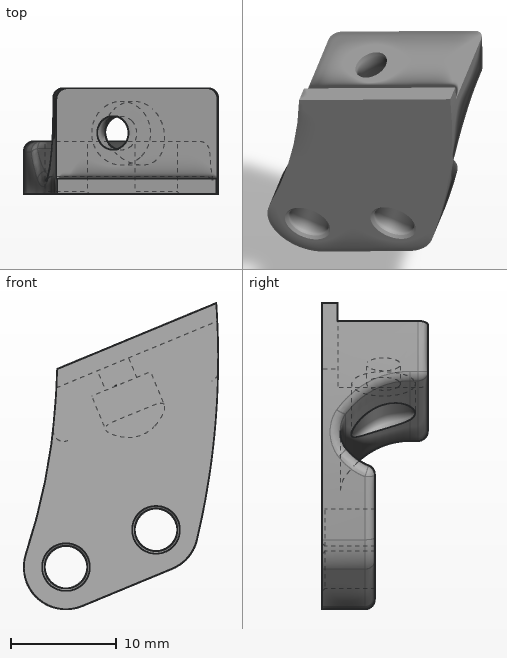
import cadquery as cq
import math

SLOPE = math.radians(22.5)
COS = math.cos(SLOPE)
SIN = math.sin(SLOPE)

TOTAL_HEIGHT = 28.93
BOSS_RADIUS = 4.0
BOSS_X = 4.0
HOLE_SPACING = 9.2
FLANK_CENTER_X = -55.98
FLANK_CENTER_Z = 23.72
OUTER_FLANK_RADIUS = 74.35

PLATE_DEPTH = 1.48
PAD_DEPTH = 5.0
BLOCK_DEPTH = 10.0

STEP_DROP = 1.6
BLOCK_UNDERSIDE = 13.15

SMALL_RADIUS = 2.0
LARGE_RADIUS = 7.98
CHANNEL_FLOOR_DEPTH = 1.7
CHANNEL_CENTER_HEIGHT = 9.05
PAD_RADIUS = 5.0
PAD_JOINT_ANGLE = math.radians(42)

PIN_RADIUS = 2.0
PIN_CHAMFER = 0.25
SCREW_RADIUS = 1.6
SCREW_ALONG = 16.63
SCREW_DEPTH = 5.8
SCREW_LENGTH = 2.0
HEAD_RADIUS = 3.0
EDGE_FILLET = 0.98

MARGIN = 5.8
TOLERANCE = 0.003

SLOPED = cq.Plane(origin=(0, 0, 0), xDir=(0, 1, 0), normal=(COS, 0, SIN))

boss_1 = (BOSS_X, BOSS_RADIUS)
boss_2 = (BOSS_X + HOLE_SPACING * COS, BOSS_RADIUS + HOLE_SPACING * SIN)
flank_center = (FLANK_CENTER_X, FLANK_CENTER_Z)
inner_flank_radius = math.dist(flank_center, boss_1) - BOSS_RADIUS

corner_x = FLANK_CENTER_X + math.sqrt(OUTER_FLANK_RADIUS**2 - (TOTAL_HEIGHT - FLANK_CENTER_Z) ** 2)
cap_height = TOTAL_HEIGHT * COS - corner_x * SIN
block_top = cap_height - STEP_DROP


def polar(center, radius, angle):
    return (center[0] + radius * math.cos(angle), center[1] + radius * math.sin(angle))


def angle_to(start, end):
    return math.atan2(end[1] - start[1], end[0] - start[0])


def cap_angle(radius):
    """Angle on a flank circle where it crosses the sloped cap line."""
    center_height = FLANK_CENTER_Z * COS - FLANK_CENTER_X * SIN
    return SLOPE + math.asin((cap_height - center_height) / radius)


def front_prism():
    down = SLOPE - math.pi / 2
    inner_end = angle_to(flank_center, boss_1)
    outer_start = angle_to(flank_center, boss_2)
    inner_cap = cap_angle(inner_flank_radius)
    outer_cap = cap_angle(OUTER_FLANK_RADIUS)
    boss_mid = (inner_end - math.pi + down) / 2
    return (
        cq.Workplane("XZ")
        .moveTo(*polar(flank_center, inner_flank_radius, inner_cap))
        .threePointArc(
            polar(flank_center, inner_flank_radius, (inner_cap + inner_end) / 2),
            polar(flank_center, inner_flank_radius, inner_end),
        )
        .threePointArc(polar(boss_1, BOSS_RADIUS, boss_mid), polar(boss_1, BOSS_RADIUS, down))
        .lineTo(*polar(boss_2, BOSS_RADIUS, down))
        .threePointArc(
            polar(boss_2, BOSS_RADIUS, (down + outer_start) / 2),
            polar(flank_center, OUTER_FLANK_RADIUS, outer_start),
        )
        .threePointArc(
            polar(flank_center, OUTER_FLANK_RADIUS, (outer_start + outer_cap) / 2),
            polar(flank_center, OUTER_FLANK_RADIUS, outer_cap),
        )
        .close()
        .extrude(-BLOCK_DEPTH)
    )


def channel_cutter():
    """Everything behind the pad and below the block, swept along the slope."""
    small = (CHANNEL_FLOOR_DEPTH + SMALL_RADIUS, CHANNEL_CENTER_HEIGHT)
    large_height = BLOCK_UNDERSIDE - LARGE_RADIUS
    rise = small[1] - large_height
    large = (small[0] + math.sqrt((LARGE_RADIUS - SMALL_RADIUS) ** 2 - rise**2), large_height)
    joint_angle = angle_to(large, small)
    pad = polar(small, PAD_RADIUS - SMALL_RADIUS, PAD_JOINT_ANGLE)
    pad_start = math.pi + PAD_JOINT_ANGLE
    pad_end = 2 * math.pi - math.acos((PAD_DEPTH - pad[0]) / PAD_RADIUS)
    back = BLOCK_DEPTH + MARGIN
    return (
        cq.Workplane(SLOPED)
        .moveTo(PAD_DEPTH, -MARGIN)
        .lineTo(*polar(pad, PAD_RADIUS, pad_end))
        .threePointArc(
            polar(pad, PAD_RADIUS, (pad_start + pad_end) / 2),
            polar(pad, PAD_RADIUS, pad_start),
        )
        .threePointArc(polar(small, SMALL_RADIUS, math.pi), polar(small, SMALL_RADIUS, joint_angle))
        .threePointArc(
            polar(large, LARGE_RADIUS, (joint_angle + math.pi / 2) / 2),
            (large[0], BLOCK_UNDERSIDE),
        )
        .lineTo(back, BLOCK_UNDERSIDE)
        .lineTo(back, -MARGIN)
        .close()
        .extrude(2 * cap_height + MARGIN, both=True)
    )


def is_rounded(edge):
    """True for the sharp rear edges and the channel rims, leaving the cap edges sharp."""
    center = SLOPED.toLocalCoords(edge.Center())
    if center.x < PLATE_DEPTH + TOLERANCE or center.y > cap_height - TOLERANCE:
        return False
    if edge.geomType() != "LINE":
        return True
    direction = edge.tangentAt(0)
    if abs(direction.y) > 0.3 - TOLERANCE:
        return False
    return min(abs(center.x - PAD_DEPTH), abs(center.x - BLOCK_DEPTH)) < TOLERANCE


def step_cutter():
    """Lowers the block below the top of the plate."""
    return (
        cq.Workplane(SLOPED)
        .moveTo(PLATE_DEPTH, block_top)
        .rect(BLOCK_DEPTH + MARGIN, STEP_DROP + MARGIN, centered=False)
        .extrude(2 * cap_height + MARGIN, both=True)
    )


def pin_hole(center):
    """Through hole with a chamfered mouth on the front face."""
    x, z = center
    bore = cq.Workplane("XZ").center(x, z).circle(PIN_RADIUS).extrude(-BLOCK_DEPTH)
    mouth = cq.Solid.makeCone(
        PIN_RADIUS + PIN_CHAMFER, PIN_RADIUS, PIN_CHAMFER, cq.Vector(x, 0, z), cq.Vector(0, 1, 0)
    )
    return bore.union(cq.Workplane(mouth))


def screw_hole():
    """Hole square to the block top with a wider bore opening into the channel."""
    up = cq.Vector(-SIN, 0, COS)
    bore_top = block_top - SCREW_LENGTH
    bore_bottom = CHANNEL_CENTER_HEIGHT
    start = SLOPED.toWorldCoords((SCREW_DEPTH, bore_bottom, SCREW_ALONG))
    hole = cq.Solid.makeCylinder(SCREW_RADIUS, cap_height, start, up)
    bore = cq.Solid.makeCylinder(HEAD_RADIUS, bore_top - bore_bottom, start, up)
    return cq.Workplane(hole).union(cq.Workplane(bore))


body = front_prism().cut(channel_cutter())
rounded_edges = [edge for edge in body.edges().vals() if is_rounded(edge)]
body = body.newObject(rounded_edges).fillet(EDGE_FILLET)
body = body.cut(step_cutter())
for boss in (boss_1, boss_2):
    body = body.cut(pin_hole(boss))
result = body.cut(screw_hole())